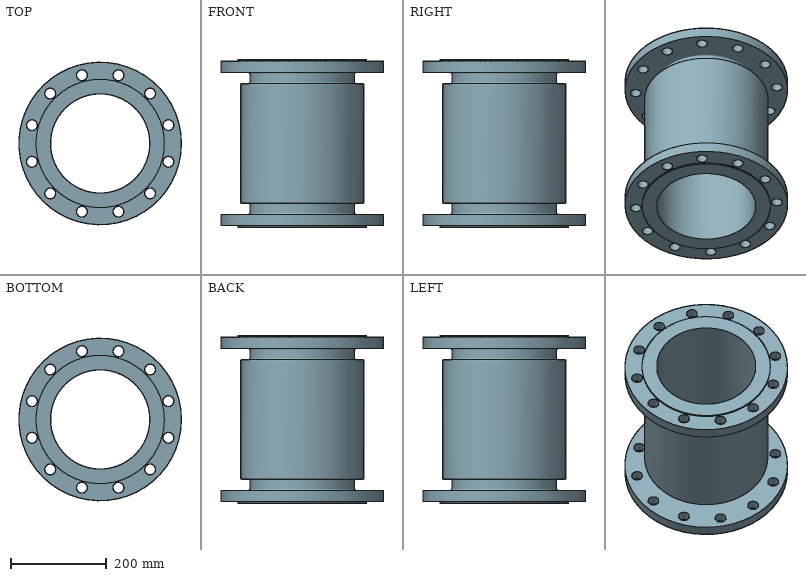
import cadquery as cq

length = 350.0
bore_diameter = 207.0
neck_diameter = 219.0

flange_diameter = 340.0
flange_thickness = 23.8
face_diameter = 268.0
face_height = 3.0

bolt_count = 12
bolt_circle_diameter = 295.0
bolt_hole_diameter = 22.0

sleeve_diameter = 258.0
sleeve_length = 250.0
sleeve_fillet = 2.5

weld_fillet = 2.8

flange_inner_z = length / 2 - face_height - flange_thickness


def cylinder(diameter, bottom, top):
    """Solid cylinder on the Z axis between two heights."""
    return cq.Workplane("XY").workplane(offset=bottom).circle(diameter / 2).extrude(top - bottom)


def neck_end_at(height):
    """Selector that picks the neck's end circle at a height."""
    reach = neck_diameter / 2 + weld_fillet
    margin = weld_fillet / 2
    return cq.selectors.BoxSelector(
        (-reach, -reach, height - margin), (reach, reach, height + margin), boundingbox=True
    )


def make_flange():
    """Upper flange: plate and raised sealing face."""
    plate_top = flange_inner_z + flange_thickness
    plate = cylinder(flange_diameter, flange_inner_z, plate_top)
    return plate.union(cylinder(face_diameter, plate_top, length / 2))


def make_bolt_holes():
    """Bolt holes through both flanges; the sleeve lies clear of them."""
    half_pitch = 360 / bolt_count / 2
    return (
        cq.Workplane("XY")
        .workplane(offset=-length / 2)
        .polarArray(bolt_circle_diameter / 2, half_pitch, 360, bolt_count)
        .circle(bolt_hole_diameter / 2)
        .extrude(length)
    )


neck = cylinder(neck_diameter, -flange_inner_z, flange_inner_z)
sleeve = cylinder(sleeve_diameter, -sleeve_length / 2, sleeve_length / 2).edges().fillet(sleeve_fillet)
upper_flange = make_flange()
lower_flange = upper_flange.mirror("XY")

body = neck.union(sleeve).union(upper_flange).union(lower_flange)
for height in (flange_inner_z, sleeve_length / 2):
    for side in (1, -1):
        body = body.edges(neck_end_at(side * height)).fillet(weld_fillet)

body = body.cut(make_bolt_holes())
result = body.cut(cylinder(bore_diameter, -length / 2, length / 2))